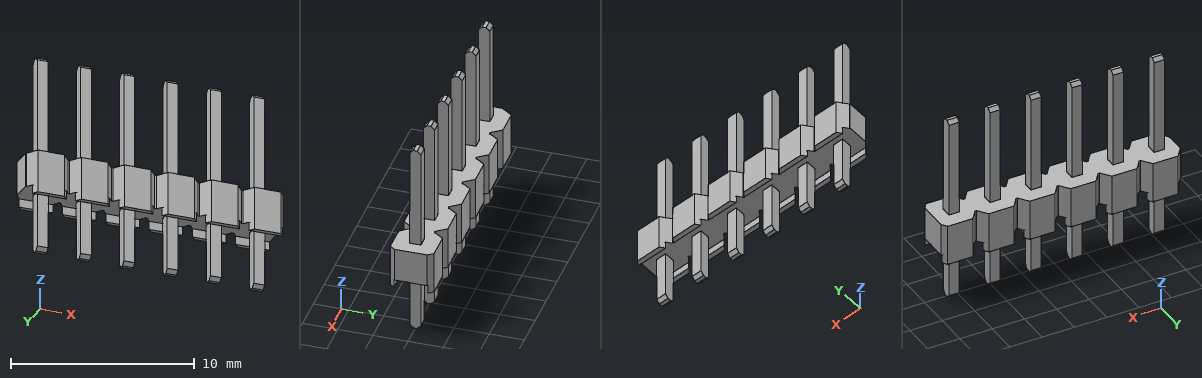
import cadquery as cq


housing_length = 15.0
housing_width = 2.5
housing_height = 2.5
pin_count = 6
pin_span = 12.7
cell_flat = 1.56
neck_length = 0.09
neck_width = 1.32
channel_width = 1.92
channel_height = 0.5

pin_size = 0.65
pin_above = 6.09
pin_below = 3.0
tip_chamfer = 0.21

housing_left = -housing_length / 2
pitch = pin_span / (pin_count - 1)
notch_mouth = pitch - cell_flat
notch_depth = (housing_width - neck_width) / 2


def notch(x_center, side):
    """V notch with a narrow flat bottom; side is +1 for the +Y face and -1 for the -Y face."""
    outer_y = side * housing_width / 2
    inner_y = outer_y - side * notch_depth
    outline = [
        (x_center - notch_mouth / 2, outer_y),
        (x_center - neck_length / 2, inner_y),
        (x_center + neck_length / 2, inner_y),
        (x_center + notch_mouth / 2, outer_y),
    ]
    return cq.Workplane("XY").polyline(outline).close().extrude(housing_height)


def make_housing():
    """Housing bar with notches at each cell boundary and a channel underneath."""
    body = cq.Workplane("XY").box(
        housing_length, housing_width, housing_height, centered=(True, True, False)
    )
    for index in range(pin_count + 1):
        for side in (1, -1):
            body = body.cut(notch(housing_left + index * pitch, side))
    channel = cq.Workplane("XY").box(
        housing_length, channel_width, channel_height, centered=(True, True, False)
    )
    return body.cut(channel)


def make_pin(x_center):
    """Square pin with both tips chamfered on the +Y and -Y sides."""
    length = pin_above + housing_height + pin_below
    return (
        cq.Workplane("XY", origin=(x_center, 0, -pin_below))
        .box(pin_size, pin_size, length, centered=(True, True, False))
        .faces("<Z or >Z")
        .edges("|X")
        .chamfer(tip_chamfer)
    )


result = make_housing()
for pin_index in range(pin_count):
    pin_x = (pin_index - (pin_count - 1) / 2) * pitch
    result = result.union(make_pin(pin_x))